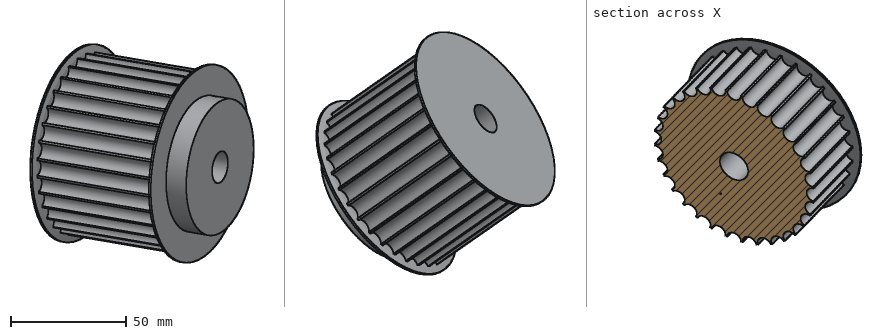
import cadquery as cq
import math


tooth_count = 32
tooth_pitch = 8.0
pitch_line_offset = 0.686
pitch_radius = tooth_count * tooth_pitch / (2 * math.pi)
tip_radius = pitch_radius - pitch_line_offset
groove_radius = 3.4

rim_length = 60.0
hub_length = 10.0
overall_length = rim_length + hub_length

flange_radius = 87.0 / 2
flange_edge_width = 1.0
flange_width = 1.5
flange_ring_radius = 40.25

hub_radius = 60.0 / 2
bore_radius = 14.0 / 2


def cylinder(radius, length, start=0.0):
    """Solid cylinder along +X from the given start."""
    return cq.Workplane("YZ", origin=(start, 0, 0)).circle(radius).extrude(length)


def make_flange():
    """Flange with its outer face at X = 0 and its sloping face toward +X."""
    return (
        cq.Workplane("XY")
        .lineTo(0, flange_radius)
        .lineTo(flange_edge_width, flange_radius)
        .lineTo(flange_width, flange_ring_radius)
        .lineTo(flange_width, 0)
        .close()
        .revolve(360, (0, 0, 0), (1, 0, 0))
    )


def make_toothed_rim():
    """Cylinder between the flanges with half-round grooves centred on the tip circle, one of them on +Y."""
    length = rim_length - 2 * flange_width
    grooves = (
        cq.Workplane("YZ", origin=(flange_width, 0, 0))
        .polarArray(tip_radius, 0, 360, tooth_count)
        .circle(groove_radius)
        .extrude(length)
    )
    return cylinder(tip_radius, length, flange_width).cut(grooves)


first_flange = make_flange()
second_flange = first_flange.mirror("YZ").translate((rim_length, 0, 0))
hub = cylinder(hub_radius, hub_length, rim_length)
bore = cylinder(bore_radius, overall_length)

result = make_toothed_rim().union(first_flange).union(second_flange).union(hub).cut(bore)